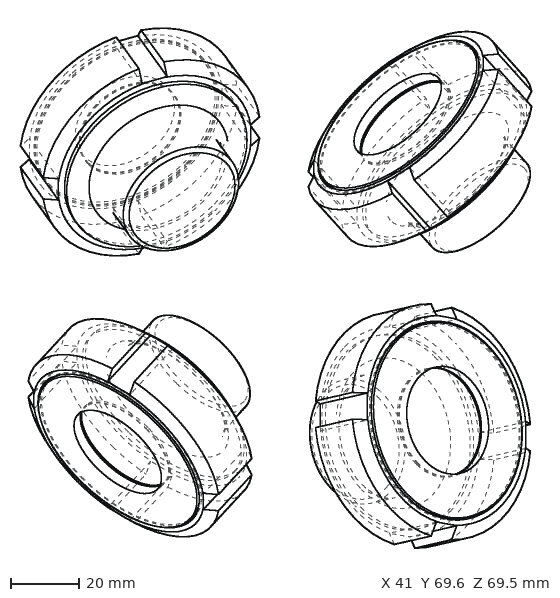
import cadquery as cq

total_length = 41.0
envelope = 69.55

slot_width = 8.0
slot_floor_offset = 30.95
nut_radius = ((envelope / 2) ** 2 + (slot_width / 2) ** 2) ** 0.5
nut_face_radius = 31.1
nut_start = 0.4
nut_end = 21.5
nut_chamfer_length = 2.35
slot_count = 4

flange_radius = 58.0 / 2
flange_end = 23.0
cone_end = 24.2
cone_end_radius = 22.4
flare_start_slope = -2.8
flare_middle = 26.2
flare_middle_radius = 19.6
flare_end_slope = -0.2
neck_radius = 37.1 / 2
neck_start = 29.2
neck_chamfer_length = 0.8
neck_chamfer_height = 1.5

recess_diameter = 32.0
recess_depth = 3.4
undercut_diameter = 32.5
undercut_length = 0.6
gap_outer_radius = 29.5
gap_depth = 1.0


def make_nut():
    profile = (
        cq.Workplane("XY")
        .moveTo(nut_start, 0)
        .lineTo(nut_start, nut_face_radius)
        .lineTo(nut_start + nut_chamfer_length, nut_radius)
        .lineTo(nut_end - nut_chamfer_length, nut_radius)
        .lineTo(nut_end, nut_face_radius)
        .lineTo(nut_end, 0)
        .close()
    )
    nut = profile.revolve(360, (0, 0, 0), (1, 0, 0))
    gap = cq.Workplane("YZ").workplane(offset=nut_start).circle(gap_outer_radius).extrude(gap_depth)
    nut = nut.cut(gap)

    slot = (
        cq.Workplane("XY")
        .workplane(offset=slot_floor_offset)
        .box(nut_end, slot_width, nut_radius, centered=(False, True, False))
    )
    for index in range(slot_count):
        nut = nut.cut(slot.rotate((0, 0, 0), (1, 0, 0), index * 360 / slot_count))
    return nut


def make_body():
    profile = (
        cq.Workplane("XY")
        .lineTo(0, flange_radius)
        .lineTo(flange_end, flange_radius)
        .lineTo(cone_end, cone_end_radius)
        .spline(
            [(flare_middle, flare_middle_radius), (neck_start, neck_radius)],
            tangents=[(1, flare_start_slope), (1, flare_end_slope)],
            includeCurrent=True,
        )
        .lineTo(total_length - neck_chamfer_length, neck_radius)
        .lineTo(total_length, neck_radius - neck_chamfer_height)
        .lineTo(total_length, 0)
        .close()
    )
    return profile.revolve(360, (0, 0, 0), (1, 0, 0))


def make_recess():
    """Blind round recess with a slightly wider undercut at its floor."""
    recess = cq.Workplane("YZ").circle(recess_diameter / 2).extrude(recess_depth)
    undercut = (
        cq.Workplane("YZ")
        .workplane(offset=recess_depth)
        .circle(undercut_diameter / 2)
        .extrude(undercut_length)
    )
    return recess.union(undercut)


result = make_nut().union(make_body()).cut(make_recess())